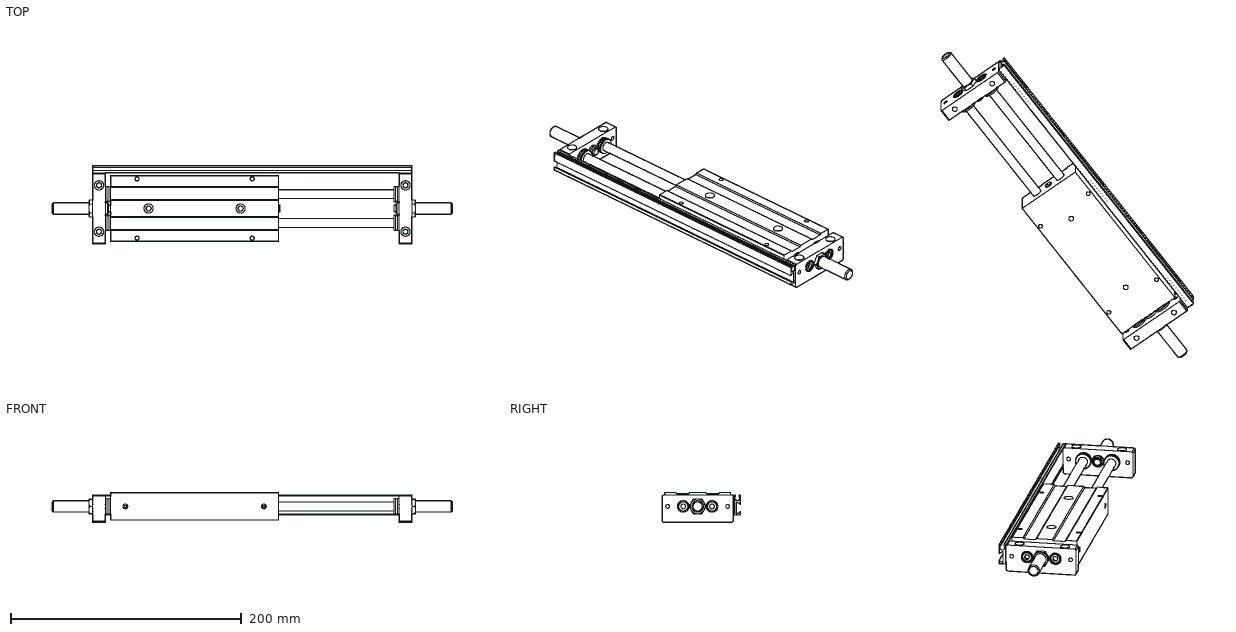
import cadquery as cq
import math


FRAME_LENGTH = 277.0
PLATE_THICKNESS = 11.0
PLATE_WIDTH = 61.8
PLATE_HEIGHT = 24.0
PLATE_CHAMFER = 1.0
PLATE_SCREW_SPACING = 40.3
PLATE_PORT_SPACING = 52.0
PLATE_PORT_DIAMETER = 3.3
PLATE_OUTER_X = FRAME_LENGTH / 2
PLATE_INNER_X = PLATE_OUTER_X - PLATE_THICKNESS
PLATE_CENTRE_X = PLATE_OUTER_X - PLATE_THICKNESS / 2

SCREW_HOLE_DIAMETER = 4.0
COUNTERBORE_DIAMETER = 8.0
COUNTERBORE_DEPTH = 4.5

AXIS_Z = 14.0
ROD_SPACING = 25.0
ROD_DIAMETER = 8.0
ROD_RECESS_DIAMETER = 10.0
ROD_RECESS_DEPTH = 1.0
ROD_SOCKET_DIAMETER = 4.0
ROD_SOCKET_DEPTH = 2.0

STOP_THICKNESS = 4.5
STOP_DIAMETER = 13.5
STOP_GROOVE_WIDTH = 1.7
STOP_GROOVE_DEPTH = 0.5

CARRIAGE_LENGTH = 145.7
CARRIAGE_WIDTH = 57.3
CARRIAGE_BOTTOM_Z = 2.0
CARRIAGE_TOP_Z = 26.0
CARRIAGE_HEIGHT = CARRIAGE_TOP_Z - CARRIAGE_BOTTOM_Z
CARRIAGE_START_X = STOP_THICKNESS - PLATE_INNER_X
CARRIAGE_CENTRE_X = CARRIAGE_START_X + CARRIAGE_LENGTH / 2
CARRIAGE_END_X = CARRIAGE_START_X + CARRIAGE_LENGTH
CHANNEL_INNER_Y = 7.0
CHANNEL_OUTER_Y = 19.0
CHANNEL_DEPTH = 1.0
CHANNEL_WALL_RUN = 1.0
CARRIAGE_CHAMFER = 0.5
MIDDLE_SCREW_SPACING = 79.8
CORNER_HOLE_DIAMETER = 3.3
CORNER_HOLE_SPACING_X = 100.0
CORNER_HOLE_SPACING_Y = 51.5
SIDE_HOLE_DIAMETER = 4.0
SIDE_HOLE_SPACING = 120.0
SIDE_HOLE_DEPTH = 7.0
SIDE_PASSAGE_DIAMETER = 2.0
SIDE_PASSAGE_DEPTH = 10.5
BUMPER_DIAMETER = 6.0
BUMPER_LENGTH = 1.0

RAIL_INNER_Y = PLATE_WIDTH / 2
RAIL_DEPTH = 6.2
RAIL_OUTER_Y = RAIL_INNER_Y + RAIL_DEPTH
RAIL_BOTTOM_Z = 6.2
RAIL_HEIGHT = PLATE_HEIGHT - RAIL_BOTTOM_Z
RAIL_RECESS_DEPTH = 0.7
RAIL_RECESS_MARGIN = 1.0
DOVETAIL_CENTRE_Z = 12.5
DOVETAIL_DEPTH = 3.5
DOVETAIL_MOUTH = 6.2
DOVETAIL_FLOOR = 10.5
ROUND_SLOT_DIAMETER = 4.0
ROUND_SLOT_MOUTH = 2.8
ROUND_SLOT_INSET = 2.8
ROUND_SLOT_Y = RAIL_OUTER_Y - ROUND_SLOT_INSET
ROUND_SLOT_Z = PLATE_HEIGHT - ROUND_SLOT_INSET

OVERALL_LENGTH = 347.0
ABSORBER_DIAMETER = 10.0
ABSORBER_CHAMFER = 1.0
ABSORBER_PROTRUSION = 2.8
ABSORBER_OUTER_X = OVERALL_LENGTH / 2
ABSORBER_INNER_X = PLATE_INNER_X - ABSORBER_PROTRUSION
PLUNGER_DIAMETER = 6.0
PLUNGER_LENGTH = 1.7
NUT_WIDTH = 13.0
NUT_THICKNESS = 3.0
NUT_CHAMFER_ANGLE = 30


def x_cylinder(diameter, start_x, end_x, y=0.0):
    """Cylinder along X at the height of the rod axes."""
    return (
        cq.Workplane("YZ", origin=(start_x, y, AXIS_Z))
        .circle(diameter / 2)
        .extrude(end_x - start_x)
    )


def counterbored_holes(points, top_z, height):
    """Cutter for vertical through holes with a counterbore at the top."""
    through = (
        cq.Workplane("XY", origin=(0, 0, top_z))
        .pushPoints(points)
        .circle(SCREW_HOLE_DIAMETER / 2)
        .extrude(-height)
    )
    counterbores = (
        cq.Workplane("XY", origin=(0, 0, top_z))
        .pushPoints(points)
        .circle(COUNTERBORE_DIAMETER / 2)
        .extrude(-COUNTERBORE_DEPTH)
    )
    return through.union(counterbores)


def at_end(body, side):
    """A body made for the +X end, mirrored to the -X end when side is -1."""
    return body if side > 0 else body.mirror("YZ")


def make_stop(rod_y):
    """Stop collar on the inner face of the +X plate, with a shallow groove around its middle."""
    start_x = PLATE_INNER_X - STOP_THICKNESS
    groove_start_x = start_x + (STOP_THICKNESS - STOP_GROOVE_WIDTH) / 2
    groove_end_x = groove_start_x + STOP_GROOVE_WIDTH
    groove_floor_diameter = STOP_DIAMETER - 2 * STOP_GROOVE_DEPTH
    collar = x_cylinder(STOP_DIAMETER, start_x, PLATE_INNER_X, rod_y)
    groove = x_cylinder(STOP_DIAMETER, groove_start_x, groove_end_x, rod_y).cut(
        x_cylinder(groove_floor_diameter, groove_start_x, groove_end_x, rod_y)
    )
    return collar.cut(groove)


def make_end_plate():
    """The +X end plate, with its rod ends and stop collars."""
    plate = (
        cq.Workplane("XY", origin=(PLATE_CENTRE_X, 0, 0))
        .box(PLATE_THICKNESS, PLATE_WIDTH, PLATE_HEIGHT, centered=(True, True, False))
        .edges("|X")
        .chamfer(PLATE_CHAMFER)
    )

    screw_y = PLATE_SCREW_SPACING / 2
    screw_points = [(PLATE_CENTRE_X, -screw_y), (PLATE_CENTRE_X, screw_y)]
    plate = plate.cut(counterbored_holes(screw_points, PLATE_HEIGHT, PLATE_HEIGHT))

    for side in (-1, 1):
        port_y = side * PLATE_PORT_SPACING / 2
        plate = plate.cut(x_cylinder(PLATE_PORT_DIAMETER, PLATE_INNER_X, PLATE_OUTER_X, port_y))

        rod_y = side * ROD_SPACING / 2
        recess_x = PLATE_OUTER_X - ROD_RECESS_DEPTH
        socket_x = PLATE_OUTER_X - ROD_SOCKET_DEPTH
        plate = plate.cut(x_cylinder(ROD_RECESS_DIAMETER, recess_x, PLATE_OUTER_X, rod_y))
        plate = plate.union(x_cylinder(ROD_DIAMETER, PLATE_INNER_X, PLATE_OUTER_X, rod_y))
        plate = plate.cut(x_cylinder(ROD_SOCKET_DIAMETER, socket_x, PLATE_OUTER_X, rod_y))
        plate = plate.union(make_stop(rod_y))

    return plate.cut(x_cylinder(ABSORBER_DIAMETER, ABSORBER_INNER_X, PLATE_OUTER_X))


def make_rail():
    """Sensor rail with a dovetail side groove, a round top slot and a recessed inner face."""
    rail = cq.Workplane("XY").box(
        FRAME_LENGTH, RAIL_DEPTH, RAIL_HEIGHT, centered=(True, False, False)
    ).translate((0, RAIL_INNER_Y, RAIL_BOTTOM_Z))

    section = cq.Workplane("YZ", origin=(-FRAME_LENGTH / 2, 0, 0))
    floor_y = RAIL_OUTER_Y - DOVETAIL_DEPTH
    dovetail = section.polyline([
        (RAIL_OUTER_Y, DOVETAIL_CENTRE_Z - DOVETAIL_MOUTH / 2),
        (RAIL_OUTER_Y, DOVETAIL_CENTRE_Z + DOVETAIL_MOUTH / 2),
        (floor_y, DOVETAIL_CENTRE_Z + DOVETAIL_FLOOR / 2),
        (floor_y, DOVETAIL_CENTRE_Z - DOVETAIL_FLOOR / 2),
    ]).close().extrude(FRAME_LENGTH)
    round_slot = (
        section.center(ROUND_SLOT_Y, ROUND_SLOT_Z)
        .circle(ROUND_SLOT_DIAMETER / 2)
        .extrude(FRAME_LENGTH)
    )
    slot_mouth = cq.Workplane("XY").box(
        FRAME_LENGTH, ROUND_SLOT_MOUTH, PLATE_HEIGHT - ROUND_SLOT_Z, centered=(True, True, False)
    ).translate((0, ROUND_SLOT_Y, ROUND_SLOT_Z))
    recess = cq.Workplane("XY").box(
        FRAME_LENGTH, RAIL_RECESS_DEPTH, RAIL_HEIGHT - 2 * RAIL_RECESS_MARGIN,
        centered=(True, False, False),
    ).translate((0, RAIL_INNER_Y, RAIL_BOTTOM_Z + RAIL_RECESS_MARGIN))
    rail = rail.cut(recess)
    return rail.cut(dovetail).cut(round_slot).cut(slot_mouth)


def make_frame():
    """End plates, guide rods and sensor rail as one rigid body."""
    frame = make_rail()
    for side in (-1, 1):
        frame = frame.union(at_end(make_end_plate(), side))
    for side in (-1, 1):
        rod_y = side * ROD_SPACING / 2
        frame = frame.union(x_cylinder(ROD_DIAMETER, -PLATE_INNER_X, PLATE_INNER_X, rod_y))
    return frame


def channel_cutter(side):
    """Cutter for the shallow channel with sloping walls on one side (-1 or 1) of the carriage top."""
    floor_z = CARRIAGE_TOP_Z - CHANNEL_DEPTH
    return (
        cq.Workplane("YZ", origin=(CARRIAGE_START_X, 0, 0))
        .polyline([
            (side * CHANNEL_INNER_Y, CARRIAGE_TOP_Z),
            (side * (CHANNEL_INNER_Y + CHANNEL_WALL_RUN), floor_z),
            (side * (CHANNEL_OUTER_Y - CHANNEL_WALL_RUN), floor_z),
            (side * CHANNEL_OUTER_Y, CARRIAGE_TOP_Z),
        ])
        .close()
        .extrude(CARRIAGE_LENGTH)
    )


def side_holes(diameter, depth):
    """Cutter for the two horizontal holes in the -Y side of the carriage."""
    return (
        cq.Workplane("XZ", origin=(CARRIAGE_CENTRE_X, -CARRIAGE_WIDTH / 2, AXIS_Z))
        .rarray(SIDE_HOLE_SPACING, 3.5, 2, 1)
        .circle(diameter / 2)
        .extrude(-depth)
    )


def make_carriage():
    """Sliding block with two shallow channels along its top."""
    carriage = cq.Workplane("XY").box(
        CARRIAGE_LENGTH, CARRIAGE_WIDTH, CARRIAGE_HEIGHT, centered=(True, True, False)
    ).translate((CARRIAGE_CENTRE_X, 0, CARRIAGE_BOTTOM_Z))
    carriage = carriage.edges("|X and >Z").chamfer(CARRIAGE_CHAMFER)

    for side in (-1, 1):
        carriage = carriage.cut(channel_cutter(side))
        rod_y = side * ROD_SPACING / 2
        carriage = carriage.cut(x_cylinder(ROD_DIAMETER, CARRIAGE_START_X, CARRIAGE_END_X, rod_y))

    screw_points = [
        (CARRIAGE_CENTRE_X + side * MIDDLE_SCREW_SPACING / 2, 0) for side in (-1, 1)
    ]
    carriage = carriage.cut(counterbored_holes(screw_points, CARRIAGE_TOP_Z, CARRIAGE_HEIGHT))

    corner_holes = (
        cq.Workplane("XY", origin=(CARRIAGE_CENTRE_X, 0, CARRIAGE_BOTTOM_Z))
        .rarray(CORNER_HOLE_SPACING_X, CORNER_HOLE_SPACING_Y, 2, 2)
        .circle(CORNER_HOLE_DIAMETER / 2)
        .extrude(CARRIAGE_HEIGHT)
    )
    carriage = carriage.cut(corner_holes)
    carriage = carriage.cut(side_holes(SIDE_HOLE_DIAMETER, SIDE_HOLE_DEPTH))
    carriage = carriage.cut(side_holes(SIDE_PASSAGE_DIAMETER, SIDE_PASSAGE_DEPTH))
    bumper = x_cylinder(BUMPER_DIAMETER, CARRIAGE_END_X, CARRIAGE_END_X + BUMPER_LENGTH)
    return carriage.union(bumper)


def make_nut():
    """Hexagonal lock nut with flats facing up and down and a chamfered outer end."""
    corner_width = NUT_WIDTH / math.cos(math.pi / 6)
    nut = (
        cq.Workplane("YZ", origin=(PLATE_OUTER_X, 0, AXIS_Z))
        .polygon(6, corner_width)
        .extrude(NUT_THICKNESS)
    )
    chamfer_width = (corner_width - NUT_WIDTH) / 2
    chamfer_height = chamfer_width * math.tan(math.radians(NUT_CHAMFER_ANGLE))
    envelope = x_cylinder(corner_width, PLATE_OUTER_X, PLATE_OUTER_X + NUT_THICKNESS)
    envelope = envelope.faces(">X").chamfer(chamfer_height, chamfer_width)
    return nut.intersect(envelope)


def make_absorber():
    """The +X shock absorber, with its lock nut and plunger."""
    barrel = x_cylinder(ABSORBER_DIAMETER, ABSORBER_INNER_X, ABSORBER_OUTER_X)
    barrel = barrel.faces("<X or >X").chamfer(ABSORBER_CHAMFER)
    plunger = x_cylinder(PLUNGER_DIAMETER, ABSORBER_INNER_X - PLUNGER_LENGTH, ABSORBER_INNER_X)
    return barrel.union(plunger).union(make_nut())


carriage = make_carriage()
frame = make_frame()
absorbers = [at_end(make_absorber(), side) for side in (-1, 1)]

result = cq.Compound.makeCompound(
    [carriage.val(), frame.val(), *(absorber.val() for absorber in absorbers)]
)